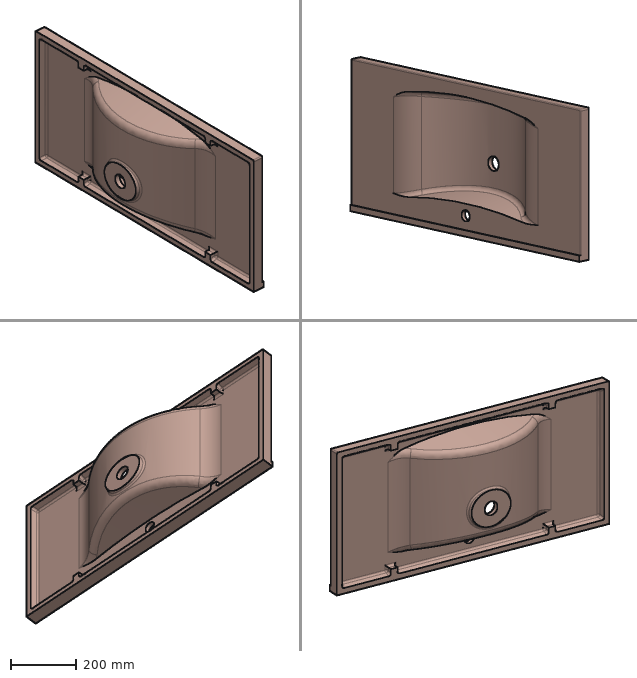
import cadquery as cq
import math

WIDTH = 1000.39
HEIGHT = 479.99
LIP_Y = 0.0
BACK_Y = -4.0
FLOOR_Y = -20.0
RIM_Y = -42.0
APEX_Y = -135.0
BOSS_Y = -143.0

LIP_HEIGHT = 20.0
EDGE_ROUND = 3.0
CORNER_ROUND = 4.5

RIM_WIDTH = 19.0
RECESS_SLOPE = 8.0
RECESS_FLOOR_ROUND = 8.0
RECESS_CORNER_ROUND = 8.0

BLOCK_X = 290.0
BLOCK_TOP_WIDTH = 24.0
BLOCK_TOP_REACH = 22.0
BLOCK_FLARE = 1.0

BOWL_RADIUS = 350.0
BLEND_ANGLE = 42.0
BOWL_WALL = 10.0
BOWL_EDGE_ROUND = 25.0

UPPER_WALL_Z = 205.0
UPPER_WALL_RADIUS = 1350.0
UPPER_WALL_LEAN = 15.0
LOWER_WALL_Z = -144.0
LOWER_WALL_RADIUS = 1600.0
LOWER_WALL_LEAN = 8.0

DRAIN_Z = -30.0
DRAIN_DIAMETER = 46.0
BOSS_FACE_RADII = (72.0, 61.0)
BOSS_BASE_RADII = (76.0, 72.0)
BOSS_DEPTH = 18.0
BOSS_ROOT_ROUND = 7.5
TAP_Z = -175.0
TAP_DIAMETER = 35.0


def facing_back(y):
    """Workplane at depth y whose local axes are X and Z, with its normal towards -Y."""
    return cq.Workplane("XZ", origin=(0, y, 0))


def slab():
    depth = BACK_Y - RIM_Y
    body = facing_back(BACK_Y).rect(WIDTH, HEIGHT).extrude(depth)
    body = body.edges("|Y and >Z").fillet(CORNER_ROUND)
    body = body.faces(">Y").edges("not <Z").fillet(EDGE_ROUND)
    lip = cq.Workplane("XY").box(WIDTH, LIP_Y - RIM_Y, LIP_HEIGHT, centered=(True, False, False))
    return body.union(lip.translate((0, RIM_Y, -HEIGHT / 2)))


def rim_block(x, side):
    """Flared block on the upper (side = 1) or lower (side = -1) part of the rim."""
    top_height = RIM_WIDTH / 2 + BLOCK_TOP_REACH
    base_height = top_height + BLOCK_FLARE
    outer_z = HEIGHT / 2 - RIM_WIDTH / 2
    base = facing_back(FLOOR_Y).center(x, side * (outer_z - base_height / 2))
    base = base.rect(BLOCK_TOP_WIDTH + 2 * BLOCK_FLARE, base_height)
    top = base.workplane(offset=FLOOR_Y - RIM_Y).center(0, side * BLOCK_FLARE / 2)
    return top.rect(BLOCK_TOP_WIDTH, top_height).loft(ruled=True)


def recess():
    """Recess with the rim blocks left standing, rounded where its walls meet each other and the floor."""
    mouth_size = (WIDTH - 2 * RIM_WIDTH, HEIGHT - 2 * RIM_WIDTH)
    floor_size = [size - 2 * RECESS_SLOPE for size in mouth_size]
    pocket = facing_back(FLOOR_Y).rect(*floor_size).workplane(offset=FLOOR_Y - RIM_Y)
    pocket = pocket.rect(*mouth_size).loft(ruled=True)
    for x in (-BLOCK_X, BLOCK_X):
        for side in (-1, 1):
            pocket = pocket.cut(rim_block(x, side))
    root_z = mouth_size[1] / 2 - RECESS_SLOPE
    for side in (-1, 1):
        wall_zone = cq.selectors.BoxSelector((-WIDTH, RIM_Y, side * root_z), (WIDTH, FLOOR_Y, side * HEIGHT))
        pocket = pocket.edges("not (|X or |Z)").edges(wall_zone).fillet(RECESS_CORNER_ROUND)
    return pocket.faces(">Y").edges().fillet(RECESS_FLOOR_ROUND)


def bowl_section(inset, foot_y, end_y):
    """Bowl cross-section prism, inset from the outer face and levelling out at foot_y."""
    radius = BOWL_RADIUS - inset
    center_y = APEX_Y + BOWL_RADIUS
    angle = math.radians(BLEND_ANGLE)
    join_x = radius * math.sin(angle)
    join_y = center_y - radius * math.cos(angle)
    blend_radius = (foot_y - join_y) / (1 - math.cos(angle))
    foot_x = join_x + blend_radius * math.sin(angle)
    mid_x = foot_x - blend_radius * math.sin(angle / 2)
    mid_y = foot_y - blend_radius * (1 - math.cos(angle / 2))
    section = (
        cq.Workplane("XY", origin=(0, 0, -HEIGHT / 2))
        .moveTo(-foot_x, end_y)
        .lineTo(-foot_x, foot_y)
        .threePointArc((-mid_x, mid_y), (-join_x, join_y))
        .threePointArc((0, APEX_Y + inset), (join_x, join_y))
        .threePointArc((mid_x, mid_y), (foot_x, foot_y))
        .lineTo(foot_x, end_y)
        .close()
    )
    return section.extrude(HEIGHT)


def wall_side(z_mid, radius, lean, keep):
    """Leaning prism on the bowl's side of one end wall; keep = -1 lies below the wall, 1 above it."""
    half = WIDTH / 2
    sag = radius - math.sqrt(radius**2 - half**2)
    far_z = keep * HEIGHT
    outline = (
        facing_back(FLOOR_Y)
        .moveTo(-half, z_mid - sag)
        .threePointArc((0, z_mid), (half, z_mid - sag))
        .lineTo(half, far_z)
        .lineTo(-half, far_z)
        .close()
    )
    face = cq.Face.makeFromWires(outline.wires().val())
    slope = math.tan(math.radians(lean))
    reach = HEIGHT / 2
    toward = cq.Vector(0, -reach, keep * slope * reach)
    prism = cq.Solid.extrudeLinear(face, toward * 2)
    return cq.Workplane(prism.translate(toward * -1))


def bowl_block(inset, foot_y, end_y):
    """Rounded solid block filling the bowl's shape, inset from the bowl's outer faces."""
    upper = wall_side(UPPER_WALL_Z - inset, UPPER_WALL_RADIUS, UPPER_WALL_LEAN, -1)
    lower = wall_side(LOWER_WALL_Z + inset, LOWER_WALL_RADIUS, LOWER_WALL_LEAN, 1)
    block = bowl_section(inset, foot_y, end_y).intersect(upper).intersect(lower)
    curved_zone = cq.selectors.BoxSelector((-WIDTH, 2 * APEX_Y, -HEIGHT), (WIDTH, foot_y - 1, HEIGHT))
    long_edges = block.edges("not |Z").edges(curved_zone)
    return long_edges.fillet(BOWL_EDGE_ROUND - inset)


def bowl_with_boss():
    """Outer shape of the bowl, with the drain boss rounded into it."""
    boss = facing_back(BOSS_Y + BOSS_DEPTH).center(0, DRAIN_Z).ellipse(*BOSS_BASE_RADII)
    boss = boss.workplane(offset=BOSS_DEPTH).ellipse(*BOSS_FACE_RADII).loft(ruled=True)
    bowl = bowl_block(0, FLOOR_Y, BACK_Y).union(boss)
    root_zone = cq.selectors.BoxSelector(
        (-BOSS_BASE_RADII[0], BOSS_Y + 1, DRAIN_Z - BOSS_BASE_RADII[1]),
        (BOSS_BASE_RADII[0], FLOOR_Y, DRAIN_Z + BOSS_BASE_RADII[1]),
        boundingbox=True,
    )
    return bowl.edges(root_zone).fillet(BOSS_ROOT_ROUND)


def through_hole(z, diameter):
    return facing_back(LIP_Y).center(0, z).circle(diameter / 2).extrude(LIP_Y - BOSS_Y)


basin = slab().cut(recess())
basin = basin.union(bowl_with_boss())
basin = basin.cut(bowl_block(BOWL_WALL, BACK_Y, LIP_Y))
result = basin.cut(through_hole(DRAIN_Z, DRAIN_DIAMETER)).cut(through_hole(TAP_Z, TAP_DIAMETER))